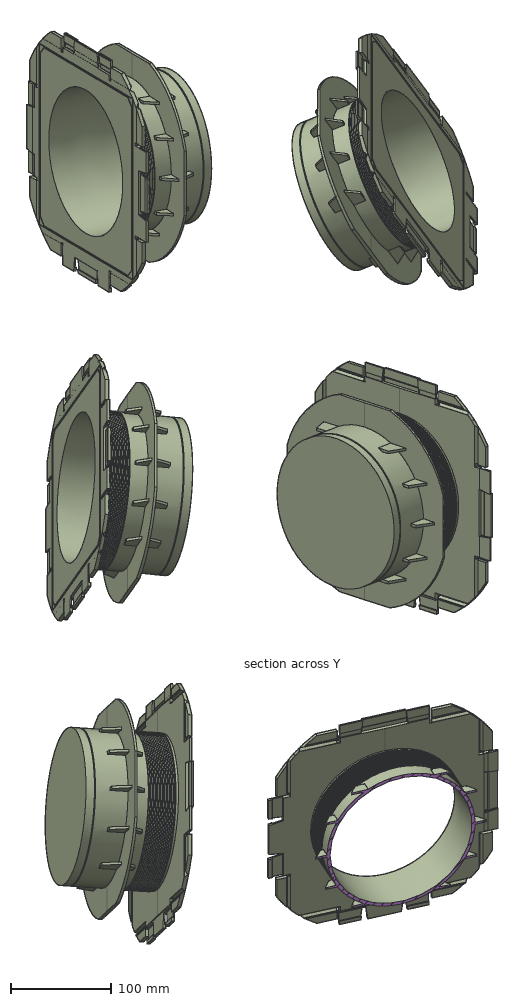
import cadquery as cq
import math


overshoot = 2.5

tube_length = 100.0
tube_radius = 79.3
bore_mouth_radius = 76.0
bore_floor_radius = 75.5
floor_thickness = 15.2
mark_groove_radius = 79.0
mark_groove_start = 90.1
mark_groove_width = 1.0

rib_root_radius = 78.5
rib_radius = 79.8
rib_zone_start = 6.9
rib_zone_end = 35.3
rib_count = 15
rib_pitch = 1.81

collar_radius = 110.7
collar_half_side = 105.3
collar_middle = 55.0
collar_center_thickness = 4.0
collar_edge_thickness = 2.5

fin_front = 40.2
fin_back = 75.0
fin_embed = 2.0
fin_root_thickness = 3.2
fin_tip_thickness = 2.5
fin_levels = [
    (0, 94.5, 86.2, 83.0),
    (39.7, 84.0, 76.0, 73.5),
    (69.5, 55.8, 48.5, 45.8),
]

plate_half_side = 115.3
plate_corner_radius = 136.2
plate_center_thickness = 5.0
plate_edge_thickness = 4.0
rim_thickness = 4.0
rim_start = 106.5
fold_half_side = 95.8
fold_width = 1.5
fold_corner_cut = 8.0
fold_depth = 0.5
hinge_offset = 102.9
hinge_width = 4.5
hinge_web = 1.0

tab_half_width = 47.8
slot_width = 3.0
slot_floor = 101.0
socket_reach = 121.2
tongue_reach = 123.7
joint_half_root = 23.0
joint_half_tip = 25.0
joint_taper_start = 108.5
tongue_half_root = 20.0
tongue_half_tip = 18.0
pocket_floor = 106.3
catch_near = 110.7
catch_far = 112.2
lip_start = 119.8
tip_chamfer = 0.7
front_layer = 1.5
back_layer = 2.2
front_catch = 1.0
back_catch = 3.0


def xz_block(points, y_start, y_end):
    """Solid with an outline of (x, z) points between two Y levels."""
    return cq.Workplane("XZ", origin=(0, y_start, 0)).polyline(points).close().extrude(y_start - y_end)


def box(x_range, y_range, z_range):
    """Box given by its limits."""
    size = [limits[1] - limits[0] for limits in (x_range, y_range, z_range)]
    low_corner = (x_range[0], y_range[0], z_range[0])
    return cq.Workplane("XY").box(*size, centered=False).translate(low_corner)


def disc(radius, y_start, y_end):
    """Disc around the tube axis between two Y levels."""
    return cq.Workplane("XZ", origin=(0, y_start, 0)).circle(radius).extrude(y_start - y_end)


def yz_prism(points, half_width):
    """Solid with an outline of (y, z) points, centred on x = 0."""
    return cq.Workplane("YZ").polyline(points).close().extrude(half_width, both=True)


def revolved(half_section):
    """Solid of revolution about the tube axis from (radius, y) points."""
    return cq.Workplane("XY").polyline(half_section).close().revolve(360, (0, 0), (0, 1))


def both_sides(solid):
    """Solid together with its mirror image across x = 0."""
    return solid.union(solid.mirror("YZ"))


def rounded_square(half_side, radius, y_start, y_end):
    """Square whose corners are trimmed by a circle."""
    square = box((-half_side, half_side), (y_start, y_end), (-half_side, half_side))
    return square.intersect(disc(radius, y_start, y_end))


def socket_cutters():
    """Removes the front of the outer parts and the back of the middle part of the +Z tab."""
    end = socket_reach + overshoot
    middle = xz_block(
        [
            (-joint_half_tip, pocket_floor),
            (joint_half_tip, pocket_floor),
            (joint_half_root, end),
            (-joint_half_root, end),
        ],
        -overshoot,
        plate_center_thickness + overshoot,
    )
    front_pocket = yz_prism(
        [
            (-overshoot, pocket_floor),
            (back_catch, pocket_floor),
            (back_catch, catch_near),
            (front_layer, catch_far),
            (front_layer, socket_reach - tip_chamfer),
            (front_layer + tip_chamfer, socket_reach),
            (front_layer + tip_chamfer, end),
            (-overshoot, end),
        ],
        tab_half_width + slot_width / 2,
    )
    back_pocket = yz_prism(
        [
            (plate_center_thickness + overshoot, pocket_floor),
            (front_catch, pocket_floor),
            (front_catch, catch_near),
            (back_layer, catch_far),
            (back_layer, end),
            (plate_center_thickness + overshoot, end),
        ],
        tab_half_width,
    )
    return front_pocket.cut(middle).union(back_pocket.intersect(middle))


def tongue_cutters():
    """Leaves a back tongue between two front flaps on a tab that points to +Z."""
    end = tongue_reach + overshoot
    gap = xz_block(
        [
            (joint_half_root, joint_taper_start),
            (joint_half_tip, tongue_reach),
            (joint_half_tip, end),
            (tongue_half_tip, end),
            (tongue_half_tip, tongue_reach),
            (tongue_half_root, joint_taper_start),
        ],
        -overshoot,
        plate_center_thickness + overshoot,
    )
    in_front_of_tongue = yz_prism(
        [
            (-overshoot, joint_taper_start),
            (back_layer, joint_taper_start),
            (back_layer, lip_start),
            (front_catch, lip_start),
            (front_catch, end),
            (-overshoot, end),
        ],
        (joint_half_root + tongue_half_root) / 2,
    )
    behind_flaps = yz_prism(
        [
            (plate_center_thickness + overshoot, joint_taper_start),
            (front_layer, joint_taper_start),
            (front_layer, lip_start),
            (back_catch, lip_start),
            (back_catch, end),
            (plate_center_thickness + overshoot, end),
        ],
        tab_half_width + slot_width / 2,
    )
    middle = box(
        (-joint_half_root, joint_half_root),
        (-overshoot, plate_center_thickness + overshoot),
        (slot_floor, end),
    )
    return both_sides(gap).union(in_front_of_tongue).union(behind_flaps.cut(middle))


def tab(reach):
    """Plain tab that points to +Z, before its joint is cut."""
    return box(
        (-tab_half_width, tab_half_width),
        (0, plate_center_thickness),
        (slot_floor - overshoot, reach),
    )


def tab_slots():
    """Slots on both sides of a tab that points to +Z."""
    slot = box(
        (tab_half_width, tab_half_width + slot_width),
        (-overshoot, plate_center_thickness + overshoot),
        (slot_floor, plate_half_side + overshoot),
    )
    return both_sides(slot)


def fold_groove():
    """Shallow groove around the middle square of the plate front."""
    inner_side = 2 * (fold_half_side - fold_width)
    outer = cq.Workplane("XZ").rect(2 * fold_half_side, 2 * fold_half_side).extrude(-fold_depth)
    inner = cq.Workplane("XZ").rect(inner_side, inner_side).extrude(-fold_depth)
    return outer.cut(inner.edges("|Y").chamfer(fold_corner_cut))


def hinge_grooves():
    """V grooves across the back of a flap that points to +Z, outside its tab."""
    groove_back = plate_center_thickness
    near = hinge_offset - hinge_width / 2
    far = hinge_offset + hinge_width / 2
    groove = yz_prism(
        [
            (hinge_web, hinge_offset),
            (plate_edge_thickness, near),
            (groove_back, near),
            (groove_back, far),
            (plate_edge_thickness, far),
        ],
        plate_half_side,
    )
    return groove.cut(box((-tab_half_width, tab_half_width), (0, groove_back), (near, far)))


def plate():
    """Coupling plate, thickest along x = 0, with four interlocking tabs."""
    body = rounded_square(plate_half_side, plate_corner_radius, 0, plate_center_thickness)
    sides = [
        (0, socket_reach, socket_cutters()),
        (-90, socket_reach, socket_cutters()),
        (90, tongue_reach, tongue_cutters()),
        (180, tongue_reach, tongue_cutters()),
    ]
    for turn, reach, joint in sides:
        side = tab(reach).cut(joint).rotate((0, 0, 0), (0, 1, 0), turn)
        cutters = tab_slots().union(hinge_grooves()).union(joint).rotate((0, 0, 0), (0, 1, 0), turn)
        body = body.cut(cutters).union(side)
    body = body.cut(fold_groove())

    half_span = tongue_reach + overshoot
    sloped_back = (
        cq.Workplane("XY")
        .polyline(
            [
                (-half_span, 0),
                (half_span, 0),
                (half_span, plate_edge_thickness),
                (0, plate_center_thickness),
                (-half_span, plate_edge_thickness),
            ]
        )
        .close()
        .extrude(half_span, both=True)
    )
    middle = box((-half_span, half_span), (0, plate_center_thickness), (-rim_start, rim_start))
    rim = box((-half_span, half_span), (0, rim_thickness), (-half_span, half_span))
    return body.intersect(sloped_back).intersect(middle.union(rim))


def ribs():
    """Core of the ribbed stretch: sharp V ribs centred in it."""
    first_root = (rib_zone_start + rib_zone_end - rib_count * rib_pitch) / 2
    half_section = [(0, rib_zone_start), (rib_root_radius, rib_zone_start), (rib_root_radius, first_root)]
    for index in range(rib_count):
        half_section.append((rib_radius, first_root + (index + 0.5) * rib_pitch))
        half_section.append((rib_root_radius, first_root + (index + 1) * rib_pitch))
    half_section += [(rib_root_radius, rib_zone_end), (0, rib_zone_end)]
    return revolved(half_section)


def tube():
    """Tube with its ribs and marking groove, before it is bored."""
    body = disc(tube_radius, 0, tube_length)
    waist = disc(tube_radius + overshoot, rib_zone_start, rib_zone_end)
    body = body.cut(waist).union(ribs())
    mark_end = mark_groove_start + mark_groove_width
    mark_groove = disc(tube_radius + overshoot, mark_groove_start, mark_end)
    return body.cut(mark_groove.cut(disc(mark_groove_radius, mark_groove_start, mark_end)))


def collar():
    """Trimmed disc around the tube that thins from x = 0 outwards."""
    center_half = collar_center_thickness / 2
    edge_half = collar_edge_thickness / 2
    wedge = (
        cq.Workplane("XY")
        .polyline(
            [
                (-collar_half_side, collar_middle - edge_half),
                (0, collar_middle - center_half),
                (collar_half_side, collar_middle - edge_half),
                (collar_half_side, collar_middle + edge_half),
                (0, collar_middle + center_half),
                (-collar_half_side, collar_middle + edge_half),
            ]
        )
        .close()
        .extrude(collar_half_side, both=True)
    )
    y_start = collar_middle - center_half
    y_end = collar_middle + center_half
    return rounded_square(collar_half_side, collar_radius, y_start, y_end).intersect(wedge)


def fins(height, collar_reach, back_reach, front_reach):
    """Pair of fins at one height, thinning from the tube to their tips."""
    root_half = fin_root_thickness / 2
    tip_half = fin_tip_thickness / 2
    root = math.sqrt(tube_radius**2 - (abs(height) + root_half) ** 2) - fin_embed
    outline = (
        cq.Workplane("XY")
        .polyline(
            [
                (root, fin_front),
                (front_reach, fin_front),
                (collar_reach, collar_middle - collar_edge_thickness / 2),
                (collar_reach, collar_middle + collar_edge_thickness / 2),
                (back_reach, fin_back),
                (root, fin_back),
            ]
        )
        .close()
        .extrude(root_half, both=True)
    )
    taper = xz_block(
        [
            (root, -root_half),
            (collar_reach, -tip_half),
            (collar_reach, tip_half),
            (root, root_half),
        ],
        fin_front,
        fin_back,
    )
    return both_sides(outline.intersect(taper).translate((0, 0, height)))


def bore():
    """Slightly tapered blind bore, open at the plate."""
    depth = tube_length - floor_thickness
    half_section = [(0, 0), (bore_mouth_radius, 0), (bore_floor_radius, depth), (0, depth)]
    return revolved(half_section)


result = tube().union(plate()).union(collar())
for height, *reaches in fin_levels:
    result = result.union(fins(height, *reaches))
    if height > 0:
        result = result.union(fins(-height, *reaches))
result = result.cut(bore())